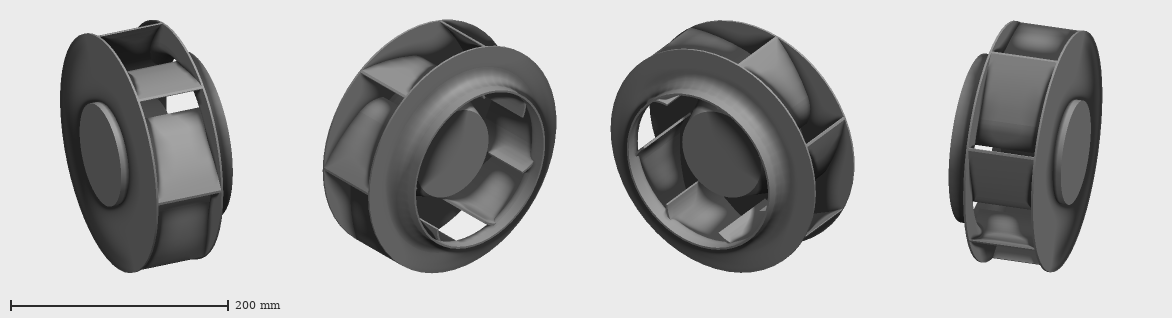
import cadquery as cq
import math

wheel_radius = 112.5
boss_radius = 48.5
boss_length = 7.9
plate_thickness = 2.0
blade_width = 63.0
collar_radius = 78.8
flare_radius = 13.5
collar_length = 10.5

hub_base_radius = 58.5
hub_top_radius = 43.5
hub_base_height = 5.5
hub_cone_height = 44.5

blade_count = 7
blade_thickness = 2.0
blade_nose_radius = 33.8
blade_nose_start = 155.7
blade_nose_sweep = 50.0
blade_inner_radius = 67.5
blade_tip_angle = 53.5
blade_wrap_angle = 50.2

total_length = (
    boss_length + 2 * plate_thickness + blade_width + flare_radius + collar_length
)
plate_back = boss_length - total_length / 2
plate_front = plate_back + plate_thickness
shroud_back = plate_front + blade_width
shroud_front = shroud_back + plate_thickness
collar_back = shroud_front + flare_radius
collar_front = collar_back + collar_length

flare_center = collar_radius + flare_radius
inner_flare_radius = flare_radius + plate_thickness
collar_bore = collar_radius - plate_thickness


def disc(radius, start, length):
    """Solid disc on the wheel axis, growing from start towards +Y."""
    return cq.Workplane("XZ", origin=(0, start, 0)).circle(radius).extrude(-length)


def polar(radius, angle):
    return radius * math.cos(angle), radius * math.sin(angle)


def make_hub():
    """Conical motor cover standing on the back plate."""
    cone_start = plate_front + hub_base_height
    profile = [
        (0, plate_front),
        (hub_base_radius, plate_front),
        (hub_base_radius, cone_start),
        (hub_top_radius, cone_start + hub_cone_height),
        (0, cone_start + hub_cone_height),
    ]
    return cq.Workplane("XY").polyline(profile).close().revolve(360, (0, 0), (0, 1))


def inner_flare_mid():
    """Midpoint of the arc on the inner face of the flare."""
    offset = inner_flare_radius * math.sqrt(0.5)
    return flare_center - offset, collar_back - offset


def make_shroud():
    """Ring plate that curves smoothly into the cylindrical inlet collar."""
    offset = flare_radius * math.sqrt(0.5)
    outer_mid = (flare_center - offset, collar_back - offset)
    return (
        cq.Workplane("XY")
        .moveTo(wheel_radius, shroud_back)
        .lineTo(wheel_radius, shroud_front)
        .lineTo(flare_center, shroud_front)
        .threePointArc(outer_mid, (collar_radius, collar_back))
        .lineTo(collar_radius, collar_front)
        .lineTo(collar_bore, collar_front)
        .lineTo(collar_bore, collar_back)
        .threePointArc(inner_flare_mid(), (flare_center, shroud_back))
        .close()
        .revolve(360, (0, 0), (0, 1))
    )


def make_inlet_core():
    """Space enclosed by the flare, used to fit the blades against its inner face."""
    return (
        cq.Workplane("XY")
        .moveTo(0, shroud_back)
        .lineTo(flare_center, shroud_back)
        .threePointArc(inner_flare_mid(), (collar_bore, collar_back))
        .lineTo(0, collar_back)
        .close()
        .revolve(360, (0, 0), (0, 1))
    )


def make_blade():
    """Backward-curved strip of two tangent arcs, trimmed by the wheel rim and the inlet flare."""
    tip_angle = math.radians(blade_tip_angle)
    tip_x, tip_z = polar(wheel_radius, tip_angle)
    inner_x, inner_z = polar(blade_inner_radius, tip_angle + math.radians(blade_wrap_angle))

    nose_start = math.radians(blade_nose_start)
    nose_end = nose_start - math.radians(blade_nose_sweep)
    offset_x, offset_z = polar(blade_nose_radius, nose_start)
    nose_center = (inner_x - offset_x, inner_z - offset_z)

    def point(center, radius, angle):
        x, z = polar(radius, angle)
        return center[0] + x, center[1] + z

    joint_x, joint_z = point(nose_center, blade_nose_radius, nose_end)
    normal_x, normal_z = polar(1, nose_end)
    reach_x = tip_x - joint_x
    reach_z = tip_z - joint_z
    main_radius = -(reach_x**2 + reach_z**2) / (2 * (reach_x * normal_x + reach_z * normal_z))
    main_center = (joint_x - main_radius * normal_x, joint_z - main_radius * normal_z)

    overrun = blade_thickness / main_radius
    main_end = math.atan2(tip_z - main_center[1], tip_x - main_center[0]) - overrun

    nose_middle = (nose_start + nose_end) / 2
    main_middle = (nose_end + main_end) / 2
    nose_concave = blade_nose_radius - blade_thickness
    main_concave = main_radius - blade_thickness
    strip = (
        cq.Workplane("XZ", origin=(0, plate_front, 0))
        .moveTo(inner_x, inner_z)
        .threePointArc(point(nose_center, blade_nose_radius, nose_middle), (joint_x, joint_z))
        .threePointArc(
            point(main_center, main_radius, main_middle),
            point(main_center, main_radius, main_end),
        )
        .lineTo(*point(main_center, main_concave, main_end))
        .threePointArc(
            point(main_center, main_concave, main_middle),
            point(main_center, main_concave, nose_end),
        )
        .threePointArc(
            point(nose_center, nose_concave, nose_middle),
            point(nose_center, nose_concave, nose_start),
        )
        .close()
        .extrude(plate_front - collar_back)
    )
    return strip.intersect(disc(wheel_radius, plate_front, blade_width).union(make_inlet_core()))


result = disc(boss_radius, plate_back - boss_length, boss_length)
result = result.union(disc(wheel_radius, plate_back, plate_thickness))
result = result.union(make_hub()).union(make_shroud())
blade = make_blade()
for index in range(blade_count):
    result = result.union(blade.rotate((0, 0, 0), (0, 1, 0), index * 360 / blade_count))